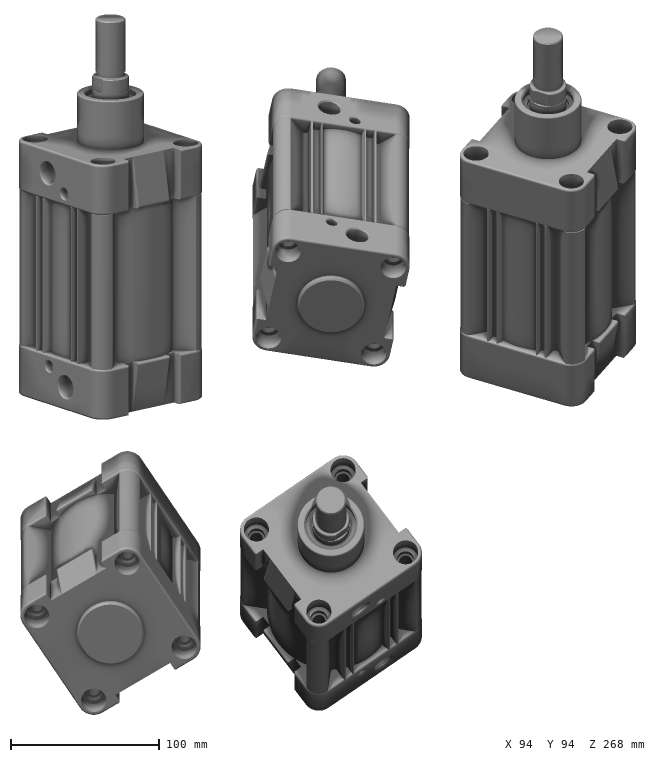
import cadquery as cq

BODY_LENGTH = 178.0
CAP_LENGTH = 35.0
SPIGOT_LENGTH = 4.0
COLLAR_LENGTH = 34.0
ROD_SHOULDER = 46.0
TIP_LENGTH = 40.0
BARREL_LENGTH = BODY_LENGTH - 2 * CAP_LENGTH

CAP_WIDTH = 94.0
HALF_CAP = CAP_WIDTH / 2
BOLT_SPACING = 72.0
BOLT_OFFSET = BOLT_SPACING / 2
CAP_EDGE_FILLET = 1.5

NOTCH_WIDTH = 43.8
NOTCH_DEPTH = 6.5
NOTCH_FLOOR = HALF_CAP - NOTCH_DEPTH
NOTCH_MOUTH_FILLET = 1.5
TONGUE_WIDTH = 28.5
TONGUE_RISE = 6.0
TONGUE_FILLET = 1.5
TONGUE_ROOT = 2.0

BOLT_BORE_DIAMETER = 8.7
BOLT_STEP_DIAMETER = 11.6
BOLT_STEP_DEPTH = 20.0
BOLT_HEAD_DIAMETER = 17.0
BOLT_HEAD_DEPTH = 15.0

PORT_DIAMETER = 15.0
PORT_CHAMFER = 0.9
PORT_OFFSET = 9.5
PORT_FROM_END = 16.3
SCREW_DIAMETER = 7.5
SCREW_CHAMFER = 0.7
SCREW_OFFSET = 8.0
SCREW_FROM_END = 27.0
PILOT_DIAMETER = 5.0
REAR_SCREW_DEPTH = 20.0
CHAMBER_DIAMETER = 35.0
CHAMBER_FLOOR = 5.0

POST_OFFSET = 36.5
POST_RADIUS = 10.0
POST_FACE = POST_OFFSET + POST_RADIUS
POST_REACH = 20.0
TUBE_RADIUS = 43.2
RAIL_BASE = 30.0
RIB_OUTER = 22.4
SLOT_OUTER = 21.0
SLOT_INNER = 15.3
SLOT_FLOOR = 40.0
LIP_TIP = 14.5
LIP_ROOT = 12.8
LIP_ROOT_LEVEL = 41.0
VALLEY_FILLET = 2.4

COLLAR_DIAMETER = 45.0
COLLAR_FILLET = 1.0
SPIGOT_CHAMFER = 1.2
RECESS_DIAMETER = 34.5
RECESS_CHAMFER = 1.0
RECESS_DEPTH = 4.7
SEAL_DIAMETER = 28.2
SEAL_DEPTH = 2.0

ROD_DIAMETER = 25.0
NECK_CHAMFER = 0.5
NECK_DIAMETER = 24.6
FLAT_WIDTH = 22.0
FLAT_LENGTH = 10.0
TIP_DIAMETER = 20.0
TIP_CHAMFER = 0.8
RELIEF_DIAMETER = 19.0
RELIEF_LENGTH = 3.0
RELIEF_FILLET = 0.8


def cylinder(diameter, z_start, length):
    """Round bar on the Z axis."""
    return cq.Workplane("XY").workplane(offset=z_start).circle(diameter / 2).extrude(length)


def make_tongue():
    """Wedge on the -X side, flush with the notch floor at z = 0 and highest at the inner face."""
    crest = NOTCH_FLOOR + TONGUE_RISE
    root = NOTCH_FLOOR - TONGUE_ROOT
    return (
        cq.Workplane("XZ")
        .polyline([(-root, 0), (-NOTCH_FLOOR, 0), (-crest, CAP_LENGTH), (-root, CAP_LENGTH)])
        .close()
        .extrude(TONGUE_WIDTH / 2, both=True)
        .faces("<X")
        .edges("not <Z")
        .fillet(TONGUE_FILLET)
    )


def make_mouth_rounding():
    """Material to remove so that one vertical edge of a notch mouth becomes round."""
    size = NOTCH_MOUTH_FILLET
    x_centre = HALF_CAP - size
    y_centre = NOTCH_WIDTH / 2 + size
    square = (
        cq.Workplane("XY")
        .moveTo(x_centre + size / 2, y_centre - size / 2)
        .rect(size, size)
        .extrude(CAP_LENGTH)
    )
    return square.cut(cq.Workplane("XY").moveTo(x_centre, y_centre).circle(size).extrude(CAP_LENGTH))


def make_cap():
    """End cap with its outer face at z = 0 and its inner face towards +Z."""
    cap = (
        cq.Workplane("XY")
        .rect(CAP_WIDTH, CAP_WIDTH)
        .extrude(CAP_LENGTH)
        .edges("|Z")
        .fillet(HALF_CAP - BOLT_OFFSET)
        .faces("<Z or >Z")
        .edges()
        .fillet(CAP_EDGE_FILLET)
    )
    notches = (
        cq.Workplane("XY")
        .pushPoints([(-HALF_CAP, 0), (HALF_CAP, 0)])
        .rect(2 * NOTCH_DEPTH, NOTCH_WIDTH)
        .extrude(CAP_LENGTH)
    )
    rounding = make_mouth_rounding()
    roundings = rounding.union(rounding.mirror("XZ"))
    roundings = roundings.union(roundings.mirror("YZ"))
    tongue = make_tongue()
    return cap.cut(notches).cut(roundings).union(tongue).union(tongue.mirror("YZ"))


def make_barrel():
    """Tube with four corner posts, and two sensor slots on each Y side."""
    barrel = cylinder(2 * TUBE_RADIUS, 0, BARREL_LENGTH)
    post = (
        cq.Workplane("XY")
        .moveTo(POST_OFFSET, POST_FACE)
        .radiusArc((POST_FACE, POST_OFFSET), POST_RADIUS)
        .line(-POST_REACH, -POST_REACH)
        .lineTo(POST_OFFSET - POST_REACH, POST_FACE - POST_REACH)
        .close()
        .extrude(BARREL_LENGTH)
    )
    valley = (RIB_OUTER, RIB_OUTER + POST_RADIUS)
    rail = (
        cq.Workplane("XY")
        .polyline([
            (LIP_ROOT, RAIL_BASE),
            (LIP_ROOT, LIP_ROOT_LEVEL),
            (LIP_TIP, POST_FACE),
            (SLOT_INNER, POST_FACE),
            (SLOT_INNER, SLOT_FLOOR),
            (SLOT_OUTER, SLOT_FLOOR),
            (SLOT_OUTER, POST_FACE),
            (RIB_OUTER, POST_FACE),
            valley,
            (POST_OFFSET, POST_FACE),
            (POST_OFFSET, RAIL_BASE),
        ])
        .close()
        .extrude(BARREL_LENGTH)
        .edges(cq.selectors.NearestToPointSelector((*valley, BARREL_LENGTH / 2)))
        .fillet(VALLEY_FILLET)
    )
    slot = (
        cq.Workplane("XY")
        .moveTo((SLOT_INNER + SLOT_OUTER) / 2, (SLOT_FLOOR + POST_FACE) / 2)
        .rect(SLOT_OUTER - SLOT_INNER, POST_FACE - SLOT_FLOOR)
        .extrude(BARREL_LENGTH)
    )
    corner = post.union(rail)
    half = corner.union(corner.mirror("YZ"))
    half_slots = slot.union(slot.mirror("YZ"))
    barrel = barrel.union(half).union(half.mirror("XZ"))
    barrel = barrel.cut(half_slots).cut(half_slots.mirror("XZ"))
    return barrel.translate((0, 0, CAP_LENGTH))


def make_collar():
    """Guide collar on the front cap, recessed around the rod."""
    top = BODY_LENGTH + COLLAR_LENGTH
    floor = top - RECESS_DEPTH
    collar = cylinder(COLLAR_DIAMETER, BODY_LENGTH, COLLAR_LENGTH).faces(">Z").edges().fillet(COLLAR_FILLET)
    recess = cylinder(RECESS_DIAMETER, floor, RECESS_DEPTH)
    mouth = (
        cq.Workplane("XY")
        .workplane(offset=top)
        .circle(RECESS_DIAMETER / 2 + RECESS_CHAMFER)
        .workplane(offset=-RECESS_CHAMFER)
        .circle(RECESS_DIAMETER / 2)
        .loft()
    )
    seal_gap = cylinder(SEAL_DIAMETER, floor - SEAL_DEPTH, SEAL_DEPTH)
    return collar.cut(recess).cut(mouth).cut(seal_gap)


def make_rod():
    """Piston rod from the front cap to the tip, with wrench flats on the Y sides."""
    shoulder = BODY_LENGTH + ROD_SHOULDER
    start = BODY_LENGTH - CAP_LENGTH
    neck_start = shoulder - FLAT_LENGTH
    rod = cylinder(ROD_DIAMETER, start, neck_start - start)
    neck = (
        cylinder(NECK_DIAMETER, neck_start, FLAT_LENGTH)
        .faces(">Z")
        .edges()
        .chamfer(NECK_CHAMFER)
        .intersect(cq.Workplane("XY").box(ROD_DIAMETER, FLAT_WIDTH, 2 * shoulder))
    )
    relief_radius = RELIEF_DIAMETER / 2
    relief = (
        cq.Workplane("XZ")
        .lineTo(relief_radius + RELIEF_FILLET, 0)
        .radiusArc((relief_radius, RELIEF_FILLET), RELIEF_FILLET)
        .lineTo(relief_radius, RELIEF_LENGTH)
        .lineTo(0, RELIEF_LENGTH)
        .close()
        .revolve(360, (0, 0), (0, 1))
        .translate((0, 0, shoulder))
    )
    tip = (
        cylinder(TIP_DIAMETER, shoulder + RELIEF_LENGTH, TIP_LENGTH - RELIEF_LENGTH)
        .faces(">Z")
        .edges()
        .chamfer(TIP_CHAMFER)
    )
    return rod.union(neck).union(relief).union(tip)


def make_bolt_holes():
    """Stepped holes at the four corners, through the whole body and alike at both ends."""
    hole = cylinder(BOLT_BORE_DIAMETER, 0, BODY_LENGTH)
    for diameter, depth in ((BOLT_STEP_DIAMETER, BOLT_STEP_DEPTH), (BOLT_HEAD_DIAMETER, BOLT_HEAD_DEPTH)):
        hole = hole.union(cylinder(diameter, 0, depth))
        hole = hole.union(cylinder(diameter, BODY_LENGTH - depth, depth))
    corners = cq.Workplane("XY").rect(BOLT_SPACING, BOLT_SPACING, forConstruction=True).vertices()
    return corners.eachpoint(lambda place: hole.val().moved(place))


def make_side_hole(diameter, chamfer, x, z, depth=HALF_CAP):
    """Flat-bottomed hole with a chamfered mouth, drilled in +Y from the -Y cap face."""
    radius = diameter / 2
    return (
        cq.Workplane("XY")
        .polyline([(0, 0), (radius + chamfer, 0), (radius, chamfer), (radius, depth), (0, depth)])
        .close()
        .revolve(360, (0, 0), (0, 1))
        .translate((x, -HALF_CAP, z))
    )


rear_cap = make_cap()
front_cap = rear_cap.mirror("XY").translate((0, 0, BODY_LENGTH))
spigot = cylinder(COLLAR_DIAMETER, -SPIGOT_LENGTH, SPIGOT_LENGTH).faces("<Z").edges().chamfer(SPIGOT_CHAMFER)
chamber = cylinder(CHAMBER_DIAMETER, CHAMBER_FLOOR, CAP_LENGTH - CHAMBER_FLOOR)

body = make_barrel().union(rear_cap).union(front_cap).union(spigot).union(make_collar())
body = body.cut(make_bolt_holes()).cut(chamber)

body = body.cut(make_side_hole(PORT_DIAMETER, PORT_CHAMFER, PORT_OFFSET, PORT_FROM_END))
body = body.cut(
    make_side_hole(SCREW_DIAMETER, SCREW_CHAMFER, -SCREW_OFFSET, SCREW_FROM_END, REAR_SCREW_DEPTH)
)
body = body.cut(make_side_hole(PILOT_DIAMETER, SCREW_CHAMFER, -SCREW_OFFSET, SCREW_FROM_END))

body = body.cut(make_side_hole(PORT_DIAMETER, PORT_CHAMFER, -PORT_OFFSET, BODY_LENGTH - PORT_FROM_END))
body = body.cut(make_side_hole(SCREW_DIAMETER, SCREW_CHAMFER, SCREW_OFFSET, BODY_LENGTH - SCREW_FROM_END))

result = body.union(make_rod())